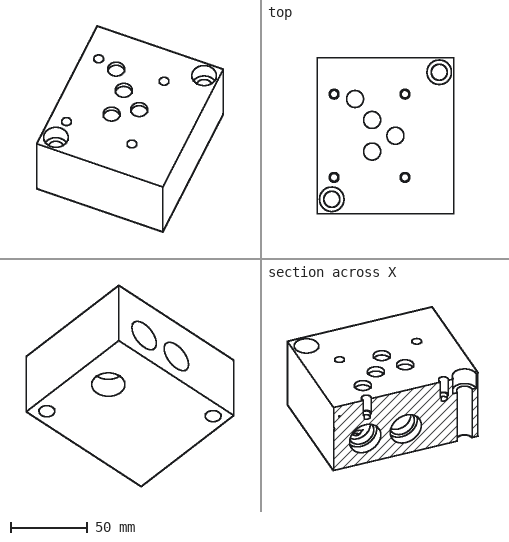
import cadquery as cq
import math

length_x = 88.9
length_y = 101.6
height = 50.8

drill_half_angle = math.radians(59)

mounting_inset = 9.5
mounting_diameter = 10.3
mounting_head_diameter = 16.0
mounting_head_depth = 11.7

screw_first_x = 11.1
screw_pitch_x = 46.0
screw_pitch_y = 54.1
screw_thread_diameter = 6.3
screw_thread_depth = 12.2
screw_drill_diameter = 5.1
screw_drill_depth = 15.2

valve_port_diameter = 11.1
valve_port_depth = 3.5
valve_middle_x = 35.8
valve_middle_spread_y = 20.5
valve_pressure_x = 50.9
valve_tank_x = 24.7
valve_tank_offset_y = 23.9

side_port_z = 19.8
side_port_pitch_y = 28.4
side_port_thread_diameter = 21.5
side_port_thread_depth = 16.3
side_port_drill_diameter = 17.5
side_port_drill_depth = 22.4

relief_diameter = 21.5
relief_depth = 15.5
relief_reach = 4.1

middle_y = length_y / 2
tank_port_y = middle_y + side_port_pitch_y


def point_length(diameter):
    """Length of the conical drill point at the end of a blind hole."""
    return diameter / 2 / math.tan(drill_half_angle)


def cylinder(start, direction, diameter, depth):
    return cq.Solid.makeCylinder(diameter / 2, depth, start, direction)


def drilled_hole(start, direction, diameter, depth):
    """Blind hole with a conical end; depth is the full-diameter length."""
    bore = cylinder(start, direction, diameter, depth)
    tip = cq.Solid.makeCone(
        diameter / 2, 0, point_length(diameter), start + direction * depth, direction
    )
    return bore.fuse(tip)


def threaded_hole(start, direction, thread_diameter, thread_depth, drill_diameter, drill_depth):
    """Thread bore stepping down to a deeper, pointed core hole."""
    thread = cylinder(start, direction, thread_diameter, thread_depth)
    return drilled_hole(start, direction, drill_diameter, drill_depth).fuse(thread)


down = cq.Vector(0, 0, -1)
up = cq.Vector(0, 0, 1)
inward = cq.Vector(1, 0, 0)

result = cq.Workplane("XY").box(length_x, length_y, height, centered=False)

mounting_points = [
    (mounting_inset, mounting_inset),
    (length_x - mounting_inset, length_y - mounting_inset),
]
for x, y in mounting_points:
    start = cq.Vector(x, y, height)
    result = result.cut(cylinder(start, down, mounting_diameter, height))
    result = result.cut(cylinder(start, down, mounting_head_diameter, mounting_head_depth))

for x in (screw_first_x, screw_first_x + screw_pitch_x):
    for y in (middle_y - screw_pitch_y / 2, middle_y + screw_pitch_y / 2):
        screw_hole = threaded_hole(
            cq.Vector(x, y, height), down,
            screw_thread_diameter, screw_thread_depth,
            screw_drill_diameter, screw_drill_depth,
        )
        result = result.cut(screw_hole)

valve_ports = [
    (valve_pressure_x, middle_y),
    (valve_middle_x, middle_y - valve_middle_spread_y / 2),
    (valve_middle_x, middle_y + valve_middle_spread_y / 2),
    (valve_tank_x, middle_y + valve_tank_offset_y),
]
for x, y in valve_ports:
    start = cq.Vector(x, y, height)
    result = result.cut(drilled_hole(start, down, valve_port_diameter, valve_port_depth))

for y in (middle_y, tank_port_y):
    side_port = threaded_hole(
        cq.Vector(0, y, side_port_z), inward,
        side_port_thread_diameter, side_port_thread_depth,
        side_port_drill_diameter, side_port_drill_depth,
    )
    result = result.cut(side_port)

tank_tip_x = side_port_drill_depth + point_length(side_port_drill_diameter)
relief_x = tank_tip_x - relief_reach + relief_diameter / 2
relief_start = cq.Vector(relief_x, tank_port_y, 0)
result = result.cut(cylinder(relief_start, up, relief_diameter, relief_depth))